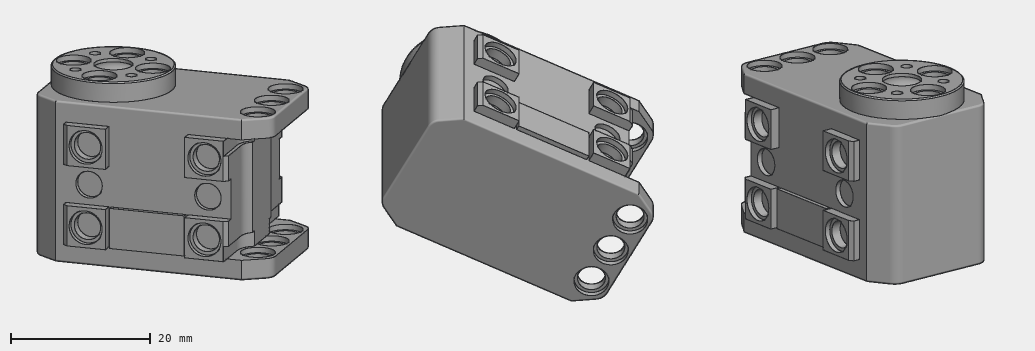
import cadquery as cq
import math

LENGTH = 36.0
WIDTH = 21.0
HEIGHT = 24.0
CORNER_LENGTH = 3.9
CORNER_WIDTH = 2.5
CORNER_RADIUS = 2.0
EDGE_RADIUS = 0.3

PLATE_THICKNESS = 3.0
CORE_END = 31.5
CLEVIS_HOLE_X = 33.0
HOLE_SPACING = 6.0
TOOL_RADIUS = 2.5
HEAD_RADIUS = 3.1
HEAD_HEIGHT = 2.25

BORE_DIAMETER = 4.0
COUNTERBORE_DIAMETER = 5.0
COUNTERBORE_DEPTH = 0.8

HORN_X = 9.0
HORN_DIAMETER = 17.8
HORN_HEIGHT = 3.0
HORN_CHAMFER = 0.2
HORN_BORE_DEPTH = HORN_HEIGHT
HORN_HOLE_COUNT = 4
PIN_DIAMETER = 1.6
PIN_DEPTH = HORN_HEIGHT
DIMPLE_DIAMETER = 5.6
DIMPLE_DEPTH = 0.5

PAD_COLUMNS = (9.0, 27.0)
PAD_ROWS = (6.0, 18.0)
PAD_HEIGHT = 6.0
PAD_THICKNESS = 1.5
PAD_INNER_REACH = 3.0
PAD_OUTER_REACH = 3.5
PAD_BEVEL_LENGTH = 0.65
PAD_BEVEL_DEPTH = 0.45
SIDE_HOLE_DEPTH = 0.8

STRIP_THICKNESS = 0.7
STRIP_GAP = 0.35

OVERLAP = 0.5

SIDES = (-1, 1)
half_width = WIDTH / 2
horn_top = HEIGHT + HORN_HEIGHT
pad_face = half_width + PAD_THICKNESS
pad_hole_depth = PAD_THICKNESS + SIDE_HOLE_DEPTH
gap_height = HEIGHT - 2 * PLATE_THICKNESS
middle_row = sum(PAD_ROWS) / len(PAD_ROWS)
pad_midline = sum(PAD_COLUMNS) / len(PAD_COLUMNS)


def make_housing():
    """Prism with bevelled, blended corners and rounded rims."""
    bevel_end = half_width - CORNER_WIDTH
    body = (
        cq.Workplane("XY")
        .polyline([
            (CORNER_LENGTH, -half_width),
            (LENGTH - CORNER_LENGTH, -half_width),
            (LENGTH, -bevel_end),
            (LENGTH, bevel_end),
            (LENGTH - CORNER_LENGTH, half_width),
            (CORNER_LENGTH, half_width),
            (0, bevel_end),
            (0, -bevel_end),
        ])
        .close()
        .extrude(HEIGHT)
    )
    body = body.edges("|Z and (<X or >X)").fillet(CORNER_RADIUS)
    return body.faces("<Z or >Z").edges().fillet(EDGE_RADIUS)


def make_clevis_gap():
    """Opening between the two end plates."""
    return (
        cq.Workplane("XY")
        .box(LENGTH - CORE_END, 2 * pad_face, gap_height, centered=(False, True, False))
        .translate((CORE_END, 0, PLATE_THICKNESS))
    )


def make_relief(side, radius, bottom, height):
    """Slot with a round inner end at an outer clevis hole, open toward the side."""
    reach = pad_face - HOLE_SPACING
    round_end = (
        cq.Workplane("XY", origin=(CLEVIS_HOLE_X, side * HOLE_SPACING, bottom))
        .circle(radius)
        .extrude(height)
    )
    channel = (
        cq.Workplane("XY", origin=(CLEVIS_HOLE_X, side * (HOLE_SPACING + reach / 2), bottom))
        .rect(2 * radius, reach)
        .extrude(height)
    )
    return round_end.union(channel)


def make_stepped_hole(face_point, inward, depth):
    """Counterbored hole entering at face_point along the inward direction."""
    plane = cq.Plane(origin=face_point, normal=inward)
    bore = cq.Workplane(plane).circle(BORE_DIAMETER / 2).extrude(depth)
    counterbore = cq.Workplane(plane).circle(COUNTERBORE_DIAMETER / 2).extrude(COUNTERBORE_DEPTH)
    return bore.union(counterbore)


def make_side_hole(x, side):
    """Plain blind hole in a long side, midway between the pad rows."""
    plane = cq.Plane(origin=(x, side * half_width, middle_row), normal=(0, -side, 0))
    return cq.Workplane(plane).circle(BORE_DIAMETER / 2).extrude(SIDE_HOLE_DEPTH)


def make_pad(x, z, side):
    """Pad whose edge nearest the end of the part is bevelled."""
    outward = math.copysign(1, x - pad_midline)
    inner_x = x - outward * PAD_INNER_REACH
    outer_x = x + outward * PAD_OUTER_REACH
    root = side * (half_width - OVERLAP)
    return (
        cq.Workplane("XY", origin=(0, 0, z - PAD_HEIGHT / 2))
        .polyline([
            (inner_x, root),
            (inner_x, side * pad_face),
            (outer_x - outward * PAD_BEVEL_LENGTH, side * pad_face),
            (outer_x, side * (pad_face - PAD_BEVEL_DEPTH)),
            (outer_x, root),
        ])
        .close()
        .extrude(PAD_HEIGHT)
    )


def make_strip(side):
    """Low strip between the two lower pads."""
    length = PAD_COLUMNS[1] - PAD_COLUMNS[0] - 2 * (PAD_INNER_REACH + STRIP_GAP)
    thickness = STRIP_THICKNESS + OVERLAP
    center_y = side * (half_width + STRIP_THICKNESS - thickness / 2)
    return cq.Workplane("XY").box(length, thickness, PAD_HEIGHT).translate((pad_midline, center_y, PAD_ROWS[0]))


def make_horn():
    """Disc with four screw holes, four pin holes and a central recess with a domed floor."""
    horn = (
        cq.Workplane("XY", origin=(HORN_X, 0, HEIGHT - OVERLAP))
        .circle(HORN_DIAMETER / 2)
        .extrude(HORN_HEIGHT + OVERLAP)
        .faces(">Z")
        .chamfer(HORN_CHAMFER)
    )
    hole_pitch = 360 / HORN_HOLE_COUNT
    for index in range(HORN_HOLE_COUNT):
        angle = math.radians(hole_pitch * index)
        x = HORN_X + HOLE_SPACING * math.cos(angle)
        y = HOLE_SPACING * math.sin(angle)
        horn = horn.cut(make_stepped_hole((x, y, horn_top), (0, 0, -1), HORN_BORE_DEPTH))
    pins = (
        cq.Workplane("XY", origin=(HORN_X, 0, horn_top))
        .polarArray(HOLE_SPACING, hole_pitch / 2, 360, HORN_HOLE_COUNT)
        .circle(PIN_DIAMETER / 2)
        .extrude(-PIN_DEPTH)
    )
    rim_radius = DIMPLE_DIAMETER / 2
    dome_radius = (rim_radius**2 + DIMPLE_DEPTH**2) / (2 * DIMPLE_DEPTH)
    recess = cq.Workplane("XY", origin=(HORN_X, 0, horn_top)).circle(rim_radius).extrude(-DIMPLE_DEPTH)
    dome = cq.Workplane("XY", origin=(HORN_X, 0, horn_top - dome_radius)).sphere(dome_radius)
    return horn.cut(pins).cut(recess.cut(dome))


result = make_housing()

for side in SIDES:
    result = result.union(make_strip(side))
    for x in PAD_COLUMNS:
        for z in PAD_ROWS:
            result = result.union(make_pad(x, z, side))

result = result.cut(make_clevis_gap())
for side in SIDES:
    result = result.cut(make_relief(side, TOOL_RADIUS, PLATE_THICKNESS, gap_height))
    for bottom in (PLATE_THICKNESS, HEIGHT - PLATE_THICKNESS - HEAD_HEIGHT):
        result = result.cut(make_relief(side, HEAD_RADIUS, bottom, HEAD_HEIGHT))

plate_faces = (
    (0, 1),
    (PLATE_THICKNESS, -1),
    (HEIGHT - PLATE_THICKNESS, 1),
    (HEIGHT, -1),
)
for y in (-HOLE_SPACING, 0, HOLE_SPACING):
    for face_z, inward in plate_faces:
        face_point = (CLEVIS_HOLE_X, y, face_z)
        result = result.cut(make_stepped_hole(face_point, (0, 0, inward), PLATE_THICKNESS))

for side in SIDES:
    for x in PAD_COLUMNS:
        for z in PAD_ROWS:
            face_point = (x, side * pad_face, z)
            result = result.cut(make_stepped_hole(face_point, (0, -side, 0), pad_hole_depth))
        result = result.cut(make_side_hole(x, side))

result = result.union(make_horn())